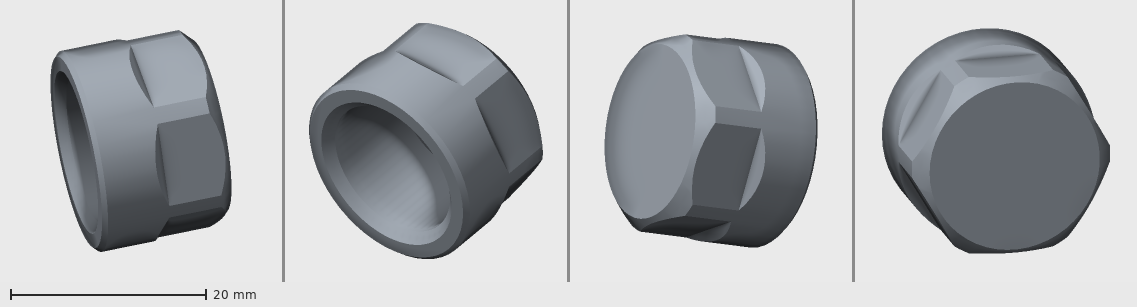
import cadquery as cq

outer_diameter = 21.0
length = 14.0
front_chamfer = 0.5
back_chamfer = 1.5

across_flats = 19.0
flat_length = 7.0
flat_count = 6

bore_diameter = 15.0
bore_depth = 11.5
mouth_diameter = 17.0
dimple_diameter = 5.0
dimple_depth = 1.45

overrun = 0.2
outer_radius = outer_diameter / 2
bore_radius = bore_diameter / 2
mouth_radius = mouth_diameter / 2
mouth_depth = mouth_radius - bore_radius
front_y = -length / 2
back_y = length / 2


def make_body():
    """Revolve the chamfered cap with its bore about the Y axis."""
    bore_end_y = front_y + bore_depth
    profile = [
        (mouth_radius, front_y),
        (outer_radius - front_chamfer, front_y),
        (outer_radius, front_y + front_chamfer),
        (outer_radius, back_y - back_chamfer),
        (outer_radius - back_chamfer, back_y),
        (0, back_y),
        (0, bore_end_y + dimple_depth),
        (dimple_diameter / 2, bore_end_y),
        (bore_radius, bore_end_y),
        (bore_radius, front_y + mouth_depth),
    ]
    return cq.Workplane("XY").polyline(profile).close().revolve(360, (0, 0, 0), (0, 1, 0))


def make_flat_cutter():
    """Material above one wrench flat, with a 45 degree run-out at its front end."""
    flat_z = across_flats / 2
    flat_front_y = back_y - flat_length
    cutter_rise = outer_radius - flat_z + overrun
    back_overrun_y = back_y + overrun
    profile = [
        (flat_front_y, flat_z),
        (back_overrun_y, flat_z),
        (back_overrun_y, flat_z + cutter_rise),
        (flat_front_y - cutter_rise, flat_z + cutter_rise),
    ]
    return cq.Workplane("YZ").polyline(profile).close().extrude(outer_radius, both=True)


result = make_body()
flat_cutter = make_flat_cutter()
for index in range(flat_count):
    angle = index * 360 / flat_count
    result = result.cut(flat_cutter.rotate((0, 0, 0), (0, 1, 0), angle))